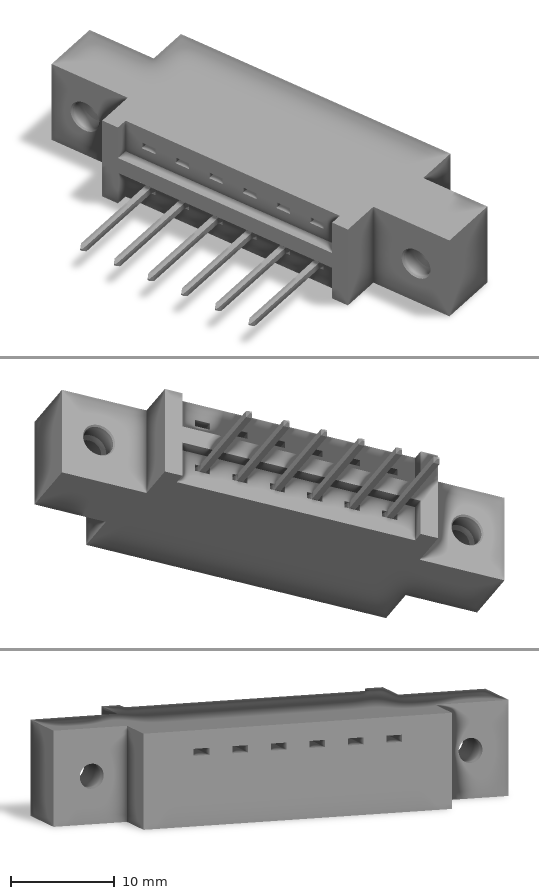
import cadquery as cq

height = 9.40
flange_width = 46.79
flange_front = 4.25
flange_depth = 6.35
front_width = 28.90
rear_width = 31.70
housing_depth = 15.15

recess_width = 25.20
recess_depth = 1.27
rib_height = 1.84

contact_count = 6
contact_pitch = 3.96
row_offset = 2.54
slot_width = 1.60
slot_height = 0.70
pin_width = 0.64
pin_length = 10.00
tip_length = 0.45
tip_width = 0.20
shoulder_length = 1.20

mounting_pitch = 38.94
eyelet_diameter = 3.95
eyelet_bore = 2.45
eyelet_mouth = 3.40
seat_diameter = 3.12
seat_depth = 1.80
taper_slope = 0.79

flange_rear = flange_front + flange_depth
mounting_places = [-mounting_pitch / 2, mounting_pitch / 2]
contact_places = [(place - (contact_count - 1) / 2) * contact_pitch for place in range(contact_count)]


def block(width, depth, tall, x, y, z):
    """A box centred on x and z whose front face lies at y."""
    return cq.Workplane("XY").box(width, depth, tall, centered=(True, False, True)).translate((x, y, z))


def make_housing():
    """Stepped block with two mounting flanges, front recesses, contact slots and eyelet holes."""
    body = block(front_width, flange_front, height, 0, 0, 0)
    body = body.union(block(flange_width, flange_depth, height, 0, flange_front, 0))
    body = body.union(block(rear_width, housing_depth - flange_rear, height, 0, flange_rear, 0))

    recess_height = (height - rib_height) / 2
    recess_middle = (height - recess_height) / 2
    for side in (1, -1):
        body = body.cut(block(recess_width, recess_depth, recess_height, 0, 0, side * recess_middle))
        for x in contact_places:
            body = body.cut(block(slot_width, housing_depth, slot_height, x, 0, side * row_offset))
    for x in mounting_places:
        hole = cq.Workplane("XZ").center(x, 0).circle(eyelet_diameter / 2).extrude(-housing_depth)
        body = body.cut(hole)
    return body


def make_contact(x):
    """Flat contact filling its lower slot, narrowed by sloping shoulders to a pin with a pyramid tip."""
    half_slot = slot_width / 2
    half_pin = pin_width / 2
    shoulder = recess_depth + shoulder_length
    tip_base = tip_length - pin_length
    blade = (
        cq.Workplane("XY")
        .polyline(
            [
                (-half_slot, housing_depth),
                (-half_slot, shoulder),
                (-half_pin, recess_depth),
                (-half_pin, tip_base),
                (half_pin, tip_base),
                (half_pin, recess_depth),
                (half_slot, shoulder),
                (half_slot, housing_depth),
            ]
        )
        .close()
        .extrude(slot_height / 2, both=True)
    )
    tip = (
        cq.Workplane("XZ", origin=(0, tip_base, 0))
        .rect(pin_width, slot_height)
        .workplane(offset=tip_length)
        .rect(tip_width, tip_width)
        .loft(ruled=True)
    )
    return blade.union(tip).translate((x, 0, -row_offset))


def make_eyelet(x):
    """Tube through one flange, with a chamfered front mouth and a wide seat tapering to the bore."""
    outer = eyelet_diameter / 2
    bore = eyelet_bore / 2
    mouth = eyelet_mouth / 2
    seat = seat_diameter / 2
    mouth_end = flange_front + (mouth - seat) / taper_slope
    seat_end = flange_front + seat_depth
    profile = [
        (outer, flange_front),
        (mouth, flange_front),
        (seat, mouth_end),
        (seat, seat_end),
        (bore, seat_end + (seat - bore) / taper_slope),
        (bore, flange_rear),
        (outer, flange_rear),
    ]
    return cq.Workplane("XY").polyline(profile).close().revolve(360, (0, 0), (0, 1)).translate((x, 0, 0))


housing = make_housing()
contacts = [make_contact(x) for x in contact_places]
eyelets = [make_eyelet(x) for x in mounting_places]

bodies = [housing, *contacts, *eyelets]
result = cq.Compound.makeCompound([body.val() for body in bodies])